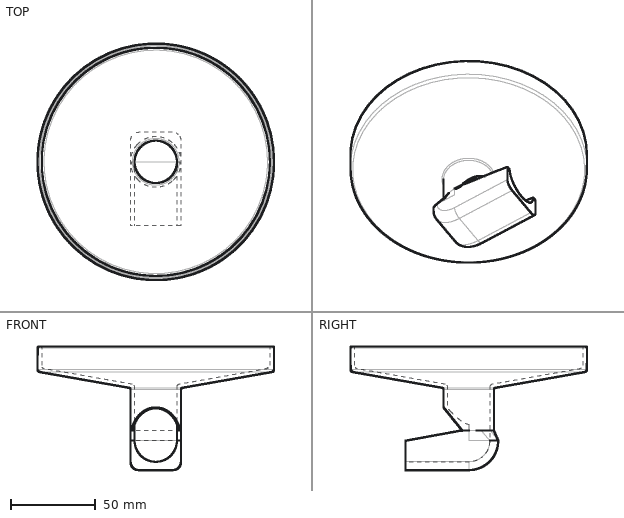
import cadquery as cq
import math

DISH_RADIUS = 70.0
WALL = 2.5
RIM_HEIGHT = 15.0
CONE_ANGLE = 10.0
RIM_FILLET = 1.0
CORNER_FILLET = 1.7
HOLE_FILLET = 1.5
NECK_FILLET = 1.0

PIPE_RADIUS = 15.0
BORE_DIAMETER = 25.0
BORE_RADIUS = BORE_DIAMETER / 2
TOP_Z = 55.7
SPOUT_LENGTH = 37.5
SPOUT_FLOOR = 5.0
SPOUT_DEPTH = 17.5
SHOULDER_HEIGHT = 5.9
CHEEK_TOP_OFFSET = 5.5

MOUTH_RADIUS = PIPE_RADIUS
MOUTH_TOP = 19.3
MOUTH_TILT = 12.0

slope = math.tan(math.radians(CONE_ANGLE))
corner_z = TOP_Z - RIM_HEIGHT
neck_z = corner_z - (DISH_RADIUS - PIPE_RADIUS) * slope
floor_rise = WALL / math.cos(math.radians(CONE_ANGLE))
inner_radius = DISH_RADIUS - WALL


def outer_cone_z(radius):
    return corner_z - (DISH_RADIUS - radius) * slope


def circle_edges(solid, radius, z):
    """Select the full-circle edge of the given radius and height."""
    tolerance = 0.01
    box = cq.selectors.BoxSelector(
        (-tolerance, -tolerance, z - tolerance),
        (tolerance, tolerance, z + tolerance),
    )
    matches = [
        edge
        for edge in solid.edges("%CIRCLE").edges(box).vals()
        if abs(edge.radius() - radius) < tolerance
    ]
    return solid.newObject(matches)


def make_dish():
    """Dish and upper pipe revolved from one wall section, then rounded."""
    inner_corner_z = outer_cone_z(inner_radius) + floor_rise
    hole_z = outer_cone_z(BORE_RADIUS) + floor_rise
    dish = (
        cq.Workplane("XZ")
        .moveTo(BORE_RADIUS, SHOULDER_HEIGHT)
        .lineTo(PIPE_RADIUS, SHOULDER_HEIGHT)
        .lineTo(PIPE_RADIUS, neck_z)
        .lineTo(DISH_RADIUS, corner_z)
        .lineTo(DISH_RADIUS, TOP_Z)
        .lineTo(inner_radius, TOP_Z)
        .lineTo(inner_radius, inner_corner_z)
        .lineTo(BORE_RADIUS, hole_z)
        .close()
        .revolve(360, (0, 0, 0), (0, 1, 0))
    )
    rounded_edges = (
        (DISH_RADIUS, TOP_Z, RIM_FILLET),
        (inner_radius, TOP_Z, RIM_FILLET),
        (DISH_RADIUS, corner_z, CORNER_FILLET),
        (inner_radius, inner_corner_z, CORNER_FILLET),
        (BORE_RADIUS, hole_z, HOLE_FILLET),
        (PIPE_RADIUS, neck_z, NECK_FILLET),
    )
    for radius, z, fillet in rounded_edges:
        dish = circle_edges(dish, radius, z).fillet(fillet)
    return dish


def make_spout_body():
    """Lower half of the spout with a round heel and rounded lower edges."""
    diagonal = SPOUT_DEPTH * math.sqrt(0.5)
    body = (
        cq.Workplane("YZ")
        .moveTo(-SPOUT_LENGTH, 0)
        .lineTo(-SPOUT_LENGTH, -SPOUT_DEPTH)
        .lineTo(0, -SPOUT_DEPTH)
        .threePointArc((diagonal, -diagonal), (SPOUT_DEPTH, 0))
        .close()
        .extrude(PIPE_RADIUS, both=True)
    )
    heel_edges = body.edges("%CIRCLE")
    return heel_edges.add(body.edges("|Y").edges("<Z")).fillet(SPOUT_FLOOR)


def pipe_point(degrees):
    """Point on the outer pipe circle at an angle from +X."""
    angle = math.radians(degrees)
    return PIPE_RADIUS * math.cos(angle), PIPE_RADIUS * math.sin(angle)


def make_shoulder():
    """Sloped cheeks in front and a ruled transition to the round pipe behind."""
    cheeks = (
        cq.Workplane("YZ")
        .moveTo(-SPOUT_LENGTH, 0)
        .lineTo(0, 0)
        .lineTo(0, SHOULDER_HEIGHT)
        .lineTo(-CHEEK_TOP_OFFSET, SHOULDER_HEIGHT)
        .close()
        .extrude(PIPE_RADIUS, both=True)
    )
    corner_x = PIPE_RADIUS - SPOUT_FLOOR
    corner_y = SPOUT_DEPTH - SPOUT_FLOOR
    diagonal = SPOUT_FLOOR * math.sqrt(0.5)
    heel_outline = (
        cq.Workplane("XY")
        .moveTo(PIPE_RADIUS, 0)
        .lineTo(PIPE_RADIUS, corner_y)
        .threePointArc((corner_x + diagonal, corner_y + diagonal), (corner_x, SPOUT_DEPTH))
        .lineTo(-corner_x, SPOUT_DEPTH)
        .threePointArc((-corner_x - diagonal, corner_y + diagonal), (-PIPE_RADIUS, corner_y))
        .lineTo(-PIPE_RADIUS, 0)
        .close()
    )
    ring_angles = (0, 30, 60, 120, 150, 180)
    half_ring = cq.Workplane("XY", origin=(0, 0, SHOULDER_HEIGHT)).moveTo(PIPE_RADIUS, 0)
    for start, end in zip(ring_angles, ring_angles[1:]):
        half_ring = half_ring.threePointArc(pipe_point((start + end) / 2), pipe_point(end))
    half_ring = half_ring.close()
    heel = cq.Solid.makeLoft([heel_outline.wires().val(), half_ring.wires().val()], True)
    return cheeks.union(cq.Workplane(heel))


def make_channel():
    """Vertical bore, ball-ended elbow and open-topped spout channel."""
    bore = cq.Workplane("XY").circle(BORE_RADIUS).extrude(neck_z)
    elbow = cq.Workplane("XY").sphere(BORE_RADIUS)
    trough = cq.Workplane("XZ").circle(BORE_RADIUS).extrude(SPOUT_LENGTH)
    opening = cq.Workplane("XY").rect(2 * BORE_RADIUS, 2 * SPOUT_LENGTH).extrude(SHOULDER_HEIGHT)
    front = cq.Workplane("XY").box(
        2 * DISH_RADIUS, SPOUT_LENGTH, 2 * TOP_Z, centered=(True, False, True)
    ).translate((0, -SPOUT_LENGTH, 0))
    return bore.union(elbow).union(trough).union(opening.intersect(front))


def make_mouth():
    """Tilted arch that opens the pipe above the spout."""
    arch = (
        cq.Workplane("XZ")
        .circle(MOUTH_RADIUS)
        .extrude(2 * PIPE_RADIUS, both=True)
        .rotate((0, 0, 0), (1, 0, 0), -MOUTH_TILT)
        .translate((0, -PIPE_RADIUS, MOUTH_TOP - MOUTH_RADIUS))
    )
    front = cq.Workplane("XY").box(
        2 * SPOUT_LENGTH, SPOUT_LENGTH, TOP_Z, centered=(True, False, False)
    ).translate((0, -SPOUT_LENGTH, SHOULDER_HEIGHT))
    return arch.intersect(front)


result = make_dish().union(make_spout_body()).union(make_shoulder())
result = result.cut(make_channel()).cut(make_mouth())